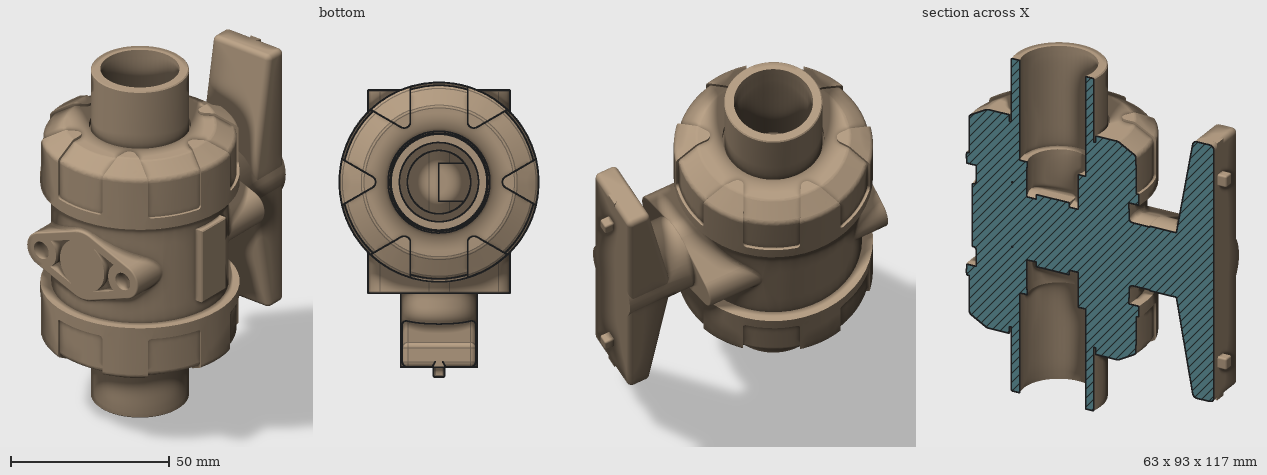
import cadquery as cq
import math


LENGTH = 117.0
PIPE_DIA = 31.0
PIPE_BORE = 25.0
PORT_BORE = 20.0
PIPE_CHAMFER = 0.4
PORT_LENGTH = 46.8

BARREL_DIA = 56.0

NUT_DIA = 63.0
NUT_BOTTOM = 17.7
NUT_TOP = 39.4
NUT_TOP_RADIUS = 24.2
NUT_SHOULDER = 35.3
NUT_ROUND = 1.8
NUT_OPENING = 32.2
NUT_OPENING_DEPTH = 2.3
RECESS_DEPTH = 0.9
RECESS_WIDTH = 18.0
RECESS_FLOOR = 21.6
RECESS_CORNER = 1.2
RECESS_COUNT = 6
LUG_TIP_ROUND = 2.0

PAD_FRONT = -29.1
PAD_BACK = 35.1
PAD_HALF_HEIGHT = 12.0
PAD_APEX_RADIUS = 8.9
PAD_END_RADIUS = 6.0
PAD_EDGE_ROUND = 0.5
PAD_ROOT_ROUND_FRONT = 0.8
PAD_ROOT_ROUND_BACK = 1.3
HOLE_DIA = 6.0
HOLE_OFFSET = 16.5
HUB_DIA = 17.9
POCKET_RIM = 2.9
HUB_BRIDGE = 6.1

LABEL_FACE = 30.1
LABEL_WIDTH = 12.0
LABEL_HEIGHT = 25.5
LABEL_CHAMFER = 0.4

STEM_DIA = 24.2
LEVER_BACK = 58.4
LEVER_WIDTH = 23.2
LEVER_HALF_LENGTH = 45.2
LEVER_TIP_FRONT = 50.8
LEVER_ROOT_FRONT = 42.6
LEVER_ROUND = 1.8
RIDGE_WIDTH = 2.3
RIDGE_BACK_WIDTH = 4.2
PEG_WIDTH = 3.5
PEG_HEIGHT = 4.0
PEG_END = 61.5
PEG_OFFSET = 32.0
PEG_ROUND = 0.6


def cylinder(diameter, z_low, z_high):
    """Cylinder on the pipe axis."""
    return cq.Workplane("XY").workplane(offset=z_low).circle(diameter / 2).extrude(z_high - z_low)


def plane_facing_y(y):
    """Workplane facing +Y, so a positive extrusion runs toward +Y."""
    return cq.Workplane(cq.Plane((0, y, 0), xDir=(1, 0, 0), normal=(0, 1, 0)))


def lozenge(y_low, y_high, inset=0.0):
    """Lozenge prism: two end arcs and two apex arcs joined by tangent lines."""
    end_radius = PAD_END_RADIUS - inset
    apex_radius = PAD_APEX_RADIUS - inset
    apex_centre = PAD_HALF_HEIGHT - PAD_APEX_RADIUS
    centre_distance = math.hypot(HOLE_OFFSET, apex_centre)
    normal = math.acos((apex_radius - end_radius) / centre_distance) - math.atan2(apex_centre, HOLE_OFFSET)
    apex_x = apex_radius * math.cos(normal)
    apex_z = apex_centre + apex_radius * math.sin(normal)
    end_x = HOLE_OFFSET + end_radius * math.cos(normal)
    end_z = end_radius * math.sin(normal)
    tip_x = HOLE_OFFSET + end_radius
    tip_z = PAD_HALF_HEIGHT - inset
    return (
        plane_facing_y(y_low)
        .moveTo(apex_x, apex_z)
        .lineTo(end_x, end_z)
        .threePointArc((tip_x, 0), (end_x, -end_z))
        .lineTo(apex_x, -apex_z)
        .threePointArc((0, -tip_z), (-apex_x, -apex_z))
        .lineTo(-end_x, -end_z)
        .threePointArc((-tip_x, 0), (-end_x, end_z))
        .lineTo(-apex_x, apex_z)
        .threePointArc((0, tip_z), (apex_x, apex_z))
        .close()
        .extrude(y_high - y_low)
    )


def nut_blank(depth):
    """Revolved nut body, with its outside set in by the given depth."""
    cone_angle = math.atan2(NUT_TOP - NUT_SHOULDER, NUT_DIA / 2 - NUT_TOP_RADIUS)
    outer = NUT_DIA / 2 - depth
    top = NUT_TOP - depth
    top_radius = NUT_TOP_RADIUS - depth * math.tan(cone_angle / 2)
    shoulder = top - (outer - top_radius) * math.tan(cone_angle)
    blank = (
        cq.Workplane("XZ")
        .moveTo(0, NUT_BOTTOM)
        .lineTo(outer, NUT_BOTTOM)
        .lineTo(outer, shoulder)
        .lineTo(top_radius, top)
        .lineTo(0, top)
        .close()
        .revolve(360, (0, 0), (0, 1))
    )
    return blank.edges("%CIRCLE and (not <Z)").fillet(NUT_ROUND)


def recess_star():
    """Crossed slots that leave pointed lugs between them."""
    star = None
    for index in range(RECESS_COUNT // 2):
        slot = (
            cq.Workplane("XY")
            .box(2 * NUT_DIA, RECESS_WIDTH, NUT_TOP, centered=(True, True, False))
            .edges("|X and <Z")
            .fillet(RECESS_CORNER)
            .translate((0, 0, RECESS_FLOOR))
            .rotate((0, 0, 0), (0, 0, 1), (index + 0.5) * 360 / RECESS_COUNT)
        )
        star = slot if star is None else star.union(slot)
    reach = NUT_DIA / 2
    tips = cq.selectors.BoxSelector((-reach, -reach, NUT_BOTTOM), (reach, reach, 2 * NUT_TOP))
    return star.edges("|Z").edges(tips).fillet(LUG_TIP_ROUND)


def make_nut():
    """Upper union nut: a full flange, six lugs and six recesses between them."""
    lugs = nut_blank(0.0).cut(recess_star())
    nut = nut_blank(RECESS_DEPTH).union(lugs)
    return nut.cut(cylinder(NUT_OPENING, NUT_TOP - RECESS_DEPTH - NUT_OPENING_DEPTH, NUT_TOP))


def make_barrel():
    """Barrel with the lozenge pads at front and back, blended into it."""
    pads = lozenge(PAD_FRONT, PAD_BACK).faces("<Y or >Y").edges().fillet(PAD_EDGE_ROUND)
    barrel = cylinder(BARREL_DIA, -RECESS_FLOOR, RECESS_FLOOR)
    body = barrel.union(pads)
    barrel_radius = BARREL_DIA / 2
    for side, radius in [(-1, PAD_ROOT_ROUND_FRONT), (1, PAD_ROOT_ROUND_BACK)]:
        near = (-barrel_radius, 0, -NUT_BOTTOM)
        far = (barrel_radius, side * (barrel_radius + PAD_EDGE_ROUND), NUT_BOTTOM)
        root = cq.selectors.BoxSelector(near, far, boundingbox=True)
        body = body.edges(root).fillet(radius)

    depth = -PAD_FRONT
    hub = plane_facing_y(PAD_FRONT).circle(HUB_DIA / 2).extrude(depth)
    bridge = plane_facing_y(PAD_FRONT).rect(HUB_BRIDGE, 2 * PAD_HALF_HEIGHT).extrude(depth)
    ends = [(-HOLE_OFFSET, 0), (HOLE_OFFSET, 0)]
    bosses = plane_facing_y(PAD_FRONT).pushPoints(ends).circle(PAD_END_RADIUS).extrude(depth)
    holes = plane_facing_y(PAD_FRONT).pushPoints(ends).circle(HOLE_DIA / 2).extrude(depth)
    hollows = lozenge(PAD_FRONT, 0, POCKET_RIM).cut(hub).cut(bridge).cut(bosses)
    return body.cut(hollows.union(holes).cut(barrel))


def make_lever():
    """Stem, tapered two-armed lever and the two pegs on its back."""
    stem = plane_facing_y(PAD_BACK).circle(STEM_DIA / 2).extrude(LEVER_BACK - PAD_BACK)
    arms = (
        cq.Workplane("YZ")
        .moveTo(LEVER_BACK, -LEVER_HALF_LENGTH)
        .lineTo(LEVER_BACK, LEVER_HALF_LENGTH)
        .lineTo(LEVER_TIP_FRONT, LEVER_HALF_LENGTH)
        .lineTo(LEVER_ROOT_FRONT, 0)
        .lineTo(LEVER_TIP_FRONT, -LEVER_HALF_LENGTH)
        .close()
        .extrude(LEVER_WIDTH / 2, both=True)
        .edges()
        .fillet(LEVER_ROUND)
    )
    ridge = (
        cq.Workplane("XY")
        .moveTo(-RIDGE_WIDTH / 2, LEVER_BACK - LEVER_ROUND)
        .lineTo(RIDGE_WIDTH / 2, LEVER_BACK - LEVER_ROUND)
        .lineTo(RIDGE_BACK_WIDTH / 2, LEVER_BACK)
        .lineTo(-RIDGE_BACK_WIDTH / 2, LEVER_BACK)
        .close()
        .extrude(LEVER_HALF_LENGTH, both=True)
    )
    pegs = (
        plane_facing_y(LEVER_BACK - LEVER_ROUND)
        .pushPoints([(0, -PEG_OFFSET), (0, PEG_OFFSET)])
        .rect(PEG_WIDTH, PEG_HEIGHT)
        .extrude(PEG_END - LEVER_BACK + LEVER_ROUND)
        .edges("|Y or >Y")
        .fillet(PEG_ROUND)
    )
    return stem.union(arms).union(ridge).union(pegs)


upper_nut = make_nut()
pipe = cylinder(PIPE_DIA, -LENGTH / 2, LENGTH / 2).edges().chamfer(PIPE_CHAMFER)
label = cq.Workplane("XY").box(LABEL_FACE, LABEL_WIDTH, LABEL_HEIGHT, centered=(False, True, True))
label = label.faces(">X").chamfer(LABEL_CHAMFER)

result = make_barrel().union(upper_nut).union(upper_nut.mirror("XY")).union(pipe)

result = result.cut(cylinder(PORT_BORE, -LENGTH / 2, LENGTH / 2))
socket = cylinder(PIPE_BORE, PORT_LENGTH / 2, LENGTH / 2)
result = result.cut(socket).cut(socket.mirror("XY"))

pad_core = lozenge(-PIPE_BORE / 2, PIPE_BORE / 2)
result = result.union(pad_core).union(label).union(make_lever())